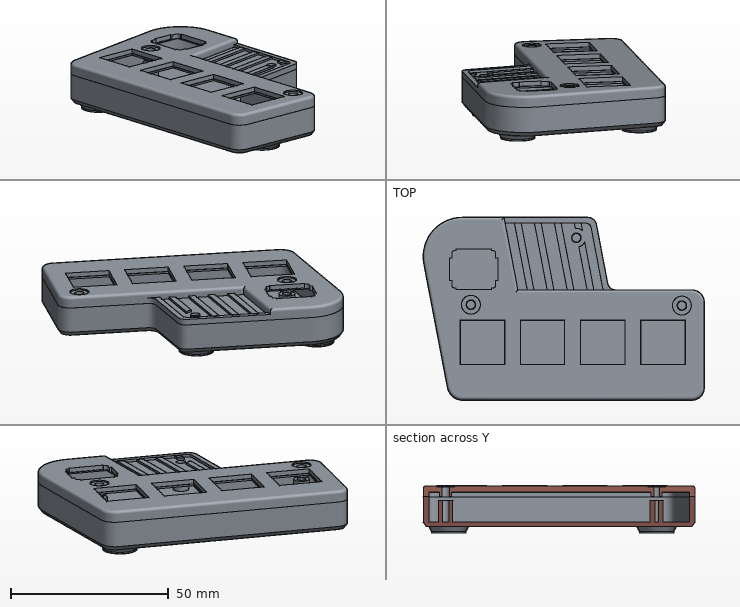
import cadquery as cq
import math

LENGTH = 89.1
DEPTH = 58.0
FOOT_HEIGHT = 2.05
CASE_HEIGHT = 13.0
LID_HEIGHT = 3.6
TOP_Z = FOOT_HEIGHT + CASE_HEIGHT
SEAM_Z = TOP_Z - LID_HEIGHT
WALL = 1.9

SLANT = math.radians(10.8)
ARM_BACK_Y = 35.0
TERRACE_RIGHT_X = 58.9
BACK_LEFT_RADIUS = 12.5
FRONT_LEFT_RADIUS = 5.0
ARM_RADIUS = 4.0
TERRACE_RADIUS = 2.85
INNER_CORNER_RADIUS = 2.5

EDGE_ROUND = 1.0
TERRACE_DROP = 1.7
TERRACE_Z = TOP_Z - TERRACE_DROP
DECK_EDGE_X = 30.0
POCKET_DEPTH = 0.8
POCKET_Z = TERRACE_Z - POCKET_DEPTH
POCKET_RADIUS = 1.8
POCKET_RIGHT_X = TERRACE_RIGHT_X - WALL / math.cos(SLANT)
POCKET_BACK_Y = DEPTH - WALL
RIB_COUNT = 4
RIB_HEIGHT = 0.6
RIB_WIDTH = 2.1
RIB_PITCH = 6.3
FIRST_RIB_X = 33.0

PLATE_THICKNESS = 2.1
CAVITY_HEIGHT = LID_HEIGHT - PLATE_THICKNESS
WINDOW_THICKNESS = 1.5
RELIEF_HEIGHT = LID_HEIGHT - WINDOW_THICKNESS
KEY_COUNT = 4
KEY_SIZE = 14.0
KEY_PITCH = 19.1
KEY_RELIEF = 14.35
FIRST_KEY_X = 18.8
KEY_Y = 18.4
ENCODER_CENTRE = (16.0, 41.5)
ENCODER_BODY = (13.8, 11.8)
ENCODER_BODY_RADIUS = 0.7
ENCODER_LOBES = [(11.2, 12.9), (15.2, 7.0)]
ENCODER_RELIEF = (16.6, 14.3)

DECK_SCREWS = [(15.15, 30.3), (82.0, 30.0)]
TERRACE_SCREW = (48.6, 51.5)
ALL_SCREWS = DECK_SCREWS + [TERRACE_SCREW]
LID_HOLE_DIAMETER = 3.0
HEAD_DIAMETER = 6.0
HEAD_DEPTH = 0.45
SPACER_DIAMETER = 4.5
POST_DIAMETER = 5.0
PILOT_DIAMETER = 2.8
POST_DROP = 4.7

FLOOR_THICKNESS = 1.5
FLOOR_Z = FOOT_HEIGHT + FLOOR_THICKNESS
POST_HEIGHT = TOP_Z - POST_DROP - FLOOR_Z
CHAMFER_HEIGHT = 1.3
CHAMFER_WIDTH = 1.0
THICK_WALL_X = 53.3
THICK_WALL_RADIUS = 1.1
FOOT_CENTRES = [(8.9, 48.2), (15.15, 7.9), (47.95, 50.0), (81.0, 17.65)]
FOOT_DIAMETER = 11.0
FOOT_ROOT_DIAMETER = 12.6
FOOT_TIP_HEIGHT = 0.5


def plane_at(z):
    return cq.Workplane("XY", origin=(0, 0, z))


def slanted_x(x, y):
    """X at height y of the slanted line that passes through (x, ARM_BACK_Y)."""
    return x - (y - ARM_BACK_Y) * math.tan(SLANT)


def slanted_block(left_x, right_x, back_y, z, height):
    """Block behind the arm, between two slanted sides given by their X at the back of the arm."""
    corners = [
        (left_x, ARM_BACK_Y),
        (right_x, ARM_BACK_Y),
        (slanted_x(right_x, back_y), back_y),
        (slanted_x(left_x, back_y), back_y),
    ]
    return plane_at(z).polyline(corners).close().extrude(height)


def cylinders(centres, diameter, z, height):
    return plane_at(z).pushPoints(centres).circle(diameter / 2).extrude(height)


def boxes(centres, size, z, height):
    return plane_at(z).pushPoints(centres).rect(*size).extrude(height)


def case_block(z, height):
    """Solid with the full case outline."""
    arc_centre_y = DEPTH - BACK_LEFT_RADIUS
    arc_end = (
        BACK_LEFT_RADIUS * (1 - math.cos(SLANT)),
        arc_centre_y - BACK_LEFT_RADIUS * math.sin(SLANT),
    )
    middle_angle = (math.pi / 2 + SLANT) / 2
    arc_middle = (
        BACK_LEFT_RADIUS * (1 - math.sin(middle_angle)),
        arc_centre_y + BACK_LEFT_RADIUS * math.cos(middle_angle),
    )
    front_left = (arc_end[0] + arc_end[1] * math.tan(SLANT), 0)
    front_right = (LENGTH, 0)
    back_right = (LENGTH, ARM_BACK_Y)
    inner_corner = (TERRACE_RIGHT_X, ARM_BACK_Y)
    terrace_corner = (slanted_x(TERRACE_RIGHT_X, DEPTH), DEPTH)
    block = (
        plane_at(z)
        .moveTo(BACK_LEFT_RADIUS, DEPTH)
        .threePointArc(arc_middle, arc_end)
        .lineTo(*front_left)
        .lineTo(*front_right)
        .lineTo(*back_right)
        .lineTo(*inner_corner)
        .lineTo(*terrace_corner)
        .close()
        .extrude(height)
    )
    corner_radii = [
        (front_left, FRONT_LEFT_RADIUS),
        (front_right, ARM_RADIUS),
        (back_right, ARM_RADIUS),
        (inner_corner, INNER_CORNER_RADIUS),
        (terrace_corner, TERRACE_RADIUS),
    ]
    for (x, y), radius in corner_radii:
        upright = cq.selectors.NearestToPointSelector((x, y, z + height / 2))
        block = block.edges(upright).fillet(radius)
    return block


def inner_block(z, height):
    """Solid with the case outline moved inward by the wall thickness."""
    outline = case_block(z, height).faces("<Z").wires().vals()
    return plane_at(z).add(outline).toPending().offset2D(-WALL).extrude(height)


def behind_deck(z, height):
    """Everything behind the arm and right of the slanted deck edge."""
    return slanted_block(DECK_EDGE_X, 2 * LENGTH, 2 * DEPTH, z, height)


def lid_shell():
    base = case_block(SEAM_Z, TERRACE_Z - SEAM_Z)
    deck = case_block(TERRACE_Z, TERRACE_DROP).cut(behind_deck(TERRACE_Z, TERRACE_DROP))
    deck = deck.faces(">Z").edges().fillet(EDGE_ROUND)
    terrace_underside = behind_deck(SEAM_Z, CAVITY_HEIGHT).translate((-WALL, -WALL, 0))
    cavity = inner_block(SEAM_Z, CAVITY_HEIGHT).cut(terrace_underside)
    return base.union(deck).cut(cavity)


def terrace_pocket():
    pocket = slanted_block(DECK_EDGE_X, POCKET_RIGHT_X, POCKET_BACK_Y, POCKET_Z, POCKET_DEPTH)
    return pocket.edges("|Z and >Y").edges(">X").fillet(POCKET_RADIUS)


def terrace_ribs():
    """Slanted ribs on the pocket floor, cleared around the screw head."""
    head = cylinders([TERRACE_SCREW], HEAD_DIAMETER, POCKET_Z, RIB_HEIGHT)
    ribs = []
    for i in range(RIB_COUNT):
        left_x = FIRST_RIB_X + i * RIB_PITCH
        rib = slanted_block(left_x, left_x + RIB_WIDTH, POCKET_BACK_Y, POCKET_Z, RIB_HEIGHT)
        ribs.append(rib.cut(head))
    return ribs


def key_windows():
    centres = [(FIRST_KEY_X + i * KEY_PITCH, KEY_Y) for i in range(KEY_COUNT)]
    windows = boxes(centres, (KEY_SIZE, KEY_SIZE), SEAM_Z, LID_HEIGHT)
    return windows.union(boxes(centres, (KEY_RELIEF, KEY_RELIEF), SEAM_Z, RELIEF_HEIGHT))


def encoder_window():
    window = boxes([ENCODER_CENTRE], ENCODER_BODY, SEAM_Z, LID_HEIGHT)
    window = window.edges("|Z").fillet(ENCODER_BODY_RADIUS)
    for lobe in ENCODER_LOBES:
        window = window.union(boxes([ENCODER_CENTRE], lobe, SEAM_Z, LID_HEIGHT))
    return window.union(boxes([ENCODER_CENTRE], ENCODER_RELIEF, SEAM_Z, RELIEF_HEIGHT))


def make_lid():
    lid = lid_shell().cut(terrace_pocket())
    for rib in terrace_ribs():
        lid = lid.union(rib)
    lid = lid.cut(key_windows()).cut(encoder_window())
    lid = lid.union(cylinders(DECK_SCREWS, SPACER_DIAMETER, SEAM_Z, CAVITY_HEIGHT))
    lid = lid.cut(cylinders(ALL_SCREWS, LID_HOLE_DIAMETER, SEAM_Z, LID_HEIGHT))
    return lid.cut(cylinders(DECK_SCREWS, HEAD_DIAMETER, TOP_Z - HEAD_DEPTH, HEAD_DEPTH))


def tray_cavity():
    height = SEAM_Z - FLOOR_Z
    thick_wall = (
        cq.Workplane("XY", origin=(THICK_WALL_X, ARM_BACK_Y - WALL, FLOOR_Z))
        .rect(LENGTH, DEPTH, centered=False)
        .extrude(height)
        .edges("|Z and <X and <Y")
        .fillet(THICK_WALL_RADIUS)
    )
    return inner_block(FLOOR_Z, height).cut(thick_wall)


def foot(x, y):
    """Round foot: a cone that narrows to a short cylinder."""
    profile = [
        (0, 0),
        (FOOT_DIAMETER / 2, 0),
        (FOOT_DIAMETER / 2, FOOT_TIP_HEIGHT),
        (FOOT_ROOT_DIAMETER / 2, FOOT_HEIGHT),
        (0, FOOT_HEIGHT),
    ]
    turned = cq.Workplane("XZ").polyline(profile).close().revolve(360, (0, 0, 0), (0, 1, 0))
    return turned.translate((x, y, 0))


def make_tray():
    tray = case_block(FOOT_HEIGHT, SEAM_Z - FOOT_HEIGHT)
    tray = tray.faces("<Z").edges().chamfer(CHAMFER_WIDTH, CHAMFER_HEIGHT)
    tray = tray.cut(tray_cavity())
    tray = tray.union(cylinders(ALL_SCREWS, POST_DIAMETER, FLOOR_Z, POST_HEIGHT))
    tray = tray.cut(cylinders(ALL_SCREWS, PILOT_DIAMETER, FLOOR_Z, POST_HEIGHT))
    for x, y in FOOT_CENTRES:
        tray = tray.union(foot(x, y))
    return tray


lid = make_lid()
tray = make_tray()
result = cq.Compound.makeCompound([lid.val(), tray.val()])